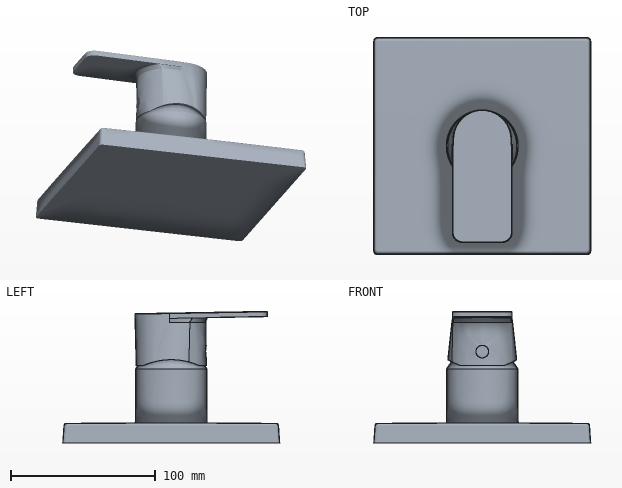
import cadquery as cq
import math

plate_size = 149.97
plate_crown_height = 13.9
plate_crown_drop = 0.7
plate_draft = 4.0
plate_corner_radius = 2.5
plate_edge_radius = 1.5

sleeve_base_radius = 24.9
sleeve_bottom = 13.5
sleeve_waist_radius = 24.6
sleeve_top_radius = 24.65
sleeve_top = 51.2
shoulder_radius = 20.0
shoulder_top = 58.0

body_bottom = 53.4
body_bottom_radius = 24.3
body_top = 92.0
body_top_half_width = 20.1
round_split_angle = math.radians(30)
body_front_radius = 24.0
back_arc_radius = 20.3
back_reach = 25.2
back_center_y = back_reach - back_arc_radius
arch_rise = 4.2
arch_half_span = 19.5

lever_half_width = 20.6
lever_tip = 66.5
lever_corner_radius = 6.8
lever_peak = 91.01
lever_thickness = 3.7
lever_tilt = 1.0
lever_edge_chamfer = 0.4

neck_back = 1.2
neck_bottom = 83.3
neck_half_width = 20.0
neck_front_radius = 23.6
neck_flare = 3.7

cap_diameter = 8.7
cap_height = 63.2
cap_depth = 6.0


def make_plate():
    """Drafted square block, topped by a shallow crown of revolution."""
    crown_reach = plate_size / math.sqrt(2)
    block = cq.Workplane("XY").rect(plate_size, plate_size).extrude(2 * plate_crown_height, taper=plate_draft)
    block = block.edges("not (|X or |Y)").fillet(plate_corner_radius)
    crown = (
        cq.Workplane("XZ")
        .moveTo(0, 0)
        .lineTo(crown_reach, 0)
        .lineTo(crown_reach, plate_crown_height - plate_crown_drop)
        .threePointArc(
            (crown_reach / 2, plate_crown_height - plate_crown_drop / 4),
            (0, plate_crown_height),
        )
        .close()
        .revolve(360, (0, 0, 0), (0, 1, 0))
    )
    return block.intersect(crown).faces(">Z").edges().fillet(plate_edge_radius)


def make_sleeve():
    """Slightly waisted column ending in a conical shoulder."""
    return (
        cq.Workplane("XZ")
        .lineTo(sleeve_base_radius, 0)
        .lineTo(sleeve_base_radius, sleeve_bottom)
        .threePointArc(
            (sleeve_waist_radius, (sleeve_bottom + sleeve_top) / 2),
            (sleeve_top_radius, sleeve_top),
        )
        .lineTo(shoulder_radius, shoulder_top)
        .lineTo(0, shoulder_top)
        .close()
        .revolve(360, (0, 0, 0), (0, 1, 0))
    )


def section(height, half_width, back, front, back_side_y, front_side_y, side_reach):
    """Closed wire of a back arc, two sides and a front arc; side_reach is the half width at Y = 0."""
    outline = (
        cq.Workplane("XY", origin=(0, 0, height))
        .moveTo(half_width, back_side_y)
        .threePointArc((0, back), (-half_width, back_side_y))
    )
    bulged = side_reach > half_width
    if bulged:
        outline = outline.threePointArc((-side_reach, 0), (-half_width, front_side_y))
    else:
        outline = outline.lineTo(-half_width, front_side_y)
    outline = outline.threePointArc((0, -front), (half_width, front_side_y))
    if bulged:
        outline = outline.threePointArc((side_reach, 0), (half_width, back_side_y))
    else:
        outline = outline.close()
    return outline.wire().val()


def round_section(height, radius):
    """Circle split into the same four arcs as the flat-sided section."""
    half_width = radius * math.cos(round_split_angle)
    side_y = radius * math.sin(round_split_angle)
    return section(height, half_width, radius, radius, side_y, -side_y, radius)


def flat_sided_section(height, half_width, front_radius):
    """Stadium-like section: tight back arc, straight sides, wide front arc about the Z axis."""
    front_side_y = -math.sqrt(front_radius**2 - half_width**2)
    return section(height, half_width, back_reach, front_radius, back_center_y, front_side_y, half_width)


def loft(lower, upper):
    return cq.Workplane(cq.Solid.makeLoft([lower, upper], True))


def front_block(bottom):
    """Everything above a height and in front of the back of the neck."""
    return (
        cq.Workplane("XY", origin=(0, neck_back - plate_size / 2, bottom))
        .box(plate_size, plate_size, plate_size, centered=(True, True, False))
    )


def make_body():
    body = loft(
        round_section(body_bottom, body_bottom_radius),
        flat_sided_section(body_top, body_top_half_width, body_front_radius),
    )
    arch_radius = (arch_half_span**2 + arch_rise**2) / (2 * arch_rise)
    arch = (
        cq.Workplane("YZ")
        .center(0, body_bottom + arch_rise - arch_radius)
        .circle(arch_radius)
        .extrude(plate_size / 2, both=True)
    )
    return body.cut(arch).cut(front_block(neck_bottom))


def make_neck():
    """Recessed front half of the body under the blade, flaring out toward the blade."""
    neck = loft(
        flat_sided_section(neck_bottom, neck_half_width, neck_front_radius),
        flat_sided_section(body_top, neck_half_width, neck_front_radius + neck_flare),
    )
    return neck.intersect(front_block(neck_bottom))


def tilted_block(thickness):
    """Slab below the tilted top plane of the lever."""
    slope = math.tan(math.radians(lever_tilt))
    front = -plate_size / 2
    back = plate_size / 2
    front_z = lever_peak - slope * (front + lever_tip)
    back_z = lever_peak - slope * (back + lever_tip)
    profile = [(front, front_z), (back, back_z), (back, back_z - thickness), (front, front_z - thickness)]
    return cq.Workplane("YZ").polyline(profile).close().extrude(plate_size / 2, both=True)


def make_blade():
    blade = (
        cq.Workplane("XY", origin=(0, (neck_back - lever_tip) / 2, 0))
        .rect(2 * lever_half_width, neck_back + lever_tip)
        .extrude(body_top)
        .edges("|Z and <Y")
        .fillet(lever_corner_radius)
    )
    return blade.intersect(tilted_block(lever_thickness))


def make_handle():
    """Body, neck and blade sharing one tilted, chamfered top face."""
    handle = make_body().union(make_neck()).union(make_blade())
    handle = handle.intersect(tilted_block(lever_peak))
    return handle.faces(">Z").chamfer(lever_edge_chamfer)


def add_cap(part):
    """Flat disc let flush into the curved front of the body."""
    radius = cap_diameter / 2
    edge_y = -math.sqrt(body_front_radius**2 - radius**2)
    seat = cq.Workplane("XZ", origin=(0, edge_y, cap_height))
    pocket = seat.circle(radius).extrude(cap_depth, both=True)
    cap = seat.circle(radius).extrude(-cap_depth)
    return part.cut(pocket).union(cap)


handle = add_cap(make_handle())
result = make_plate().union(make_sleeve()).union(handle)